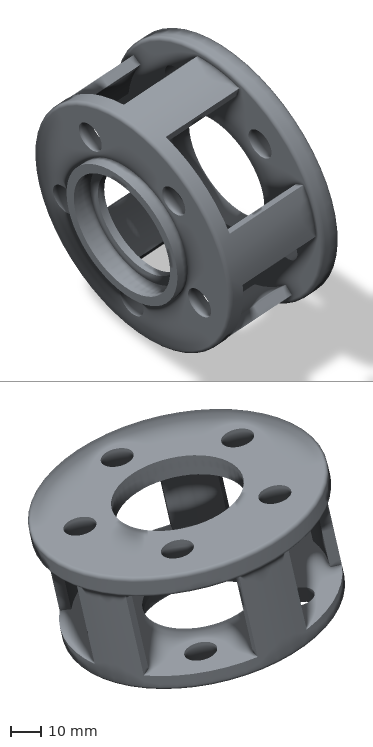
import cadquery as cq
import math

flange_thickness = 7.6
post_length = 33.3
plate_thickness = 5.8
boss_length = 4.6
overall_length = flange_thickness + post_length + plate_thickness + boss_length

flange_radius = 50.8
plate_radius = 48.0
post_thickness = 4.0
boss_radius = 27.0
recess_radius = 23.5
front_bore_radius = 19.8
rear_bore_radius = 22.5
edge_radius = 1.3

recess_depth = 7.5

post_count = 5
post_angle = 24.7
post_pitch = 360 / post_count
first_window_angle = 90 + post_pitch / 2
bolt_hole_radius = 5.6
bolt_circle_radius = 34.6

boss_front = -overall_length / 2
plate_front = boss_front + boss_length
plate_back = plate_front + plate_thickness
flange_front = plate_back + post_length


def disc(radius, front, length):
    """Cylinder along +Y starting at Y = front."""
    axis = cq.Vector(0, 1, 0)
    return cq.Workplane(cq.Solid.makeCylinder(radius, length, cq.Vector(0, front, 0), axis))


def window(direction):
    """Sector-shaped cutter between two posts, centred on an angle measured from +X towards +Z."""
    half_angle = (post_pitch - post_angle) / 2
    start, middle, end = (math.radians(direction + turn) for turn in (-half_angle, 0, half_angle))

    def point(angle):
        return (flange_radius * math.cos(angle), flange_radius * math.sin(angle))

    return (
        cq.Workplane("XZ", origin=(0, flange_front, 0))
        .lineTo(*point(start))
        .threePointArc(point(middle), point(end))
        .close()
        .extrude(post_length)
    )


cage = disc(plate_radius, plate_front, plate_thickness + post_length).faces("<Y").edges().fillet(edge_radius)
cage = cage.cut(disc(plate_radius - post_thickness, plate_back, post_length))

for index in range(post_count):
    cage = cage.cut(window(first_window_angle + index * post_pitch))

flange = disc(flange_radius, flange_front, flange_thickness).edges("%CIRCLE").fillet(edge_radius)
boss = disc(boss_radius, boss_front, boss_length)
body = cage.union(flange).union(boss)

body = body.cut(disc(rear_bore_radius, flange_front, flange_thickness))
body = body.cut(disc(front_bore_radius, boss_front, boss_length + plate_thickness))
body = body.cut(disc(recess_radius, boss_front, recess_depth))

bolt_holes = (
    cq.Workplane("XZ", origin=(0, overall_length / 2, 0))
    .polarArray(bolt_circle_radius, first_window_angle, 360, post_count)
    .circle(bolt_hole_radius)
    .extrude(overall_length)
)

result = body.cut(bolt_holes)